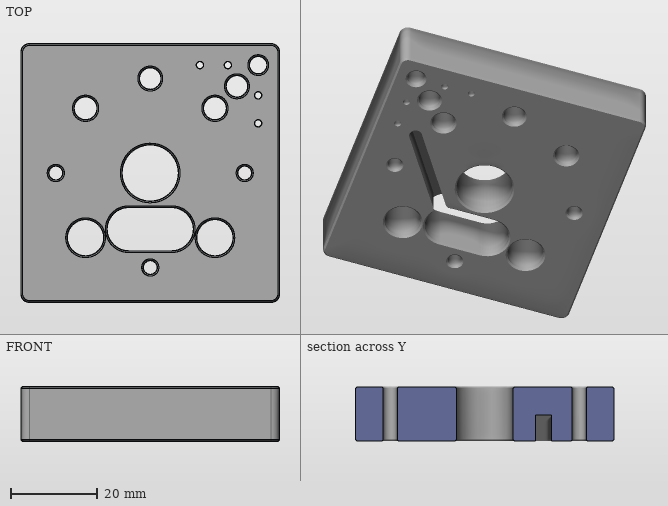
import cadquery as cq
import math

side = 60.0
thickness = 12.7
corner_radius = 2.0
edge_chamfer = 0.4

bore_diameter = 13.0
clearance_diameter = 8.4
upper_diameter = 5.3
dowel_diameter = 5.0
screw_diameter = 3.2
corner_diameter = 4.0
pin_diameter = 1.6
pattern_half = 15.0
ring_radius = 21.9
corner_offset = 25.0
inner_offset = 20.1
pin_offsets = (11.5, 18.0)

window_length = 20.0
window_width = 10.0
window_y = -13.0

channel_run = (15.0, 22.5)
channel_width = 3.0
channel_height = 6.1
mouth_radius = 2.0


def chamfered_hole(x, y, diameter):
    """Through-hole tool, widened by a chamfer at both plate faces."""
    radius = diameter / 2
    wide = radius + edge_chamfer
    profile = [
        (0, 0),
        (wide, 0),
        (radius, edge_chamfer),
        (radius, thickness - edge_chamfer),
        (wide, thickness),
        (0, thickness),
    ]
    tool = cq.Workplane("XZ").polyline(profile).close().revolve(360, (0, 0, 0), (0, 1, 0))
    return tool.translate((x, y, 0))


def make_plate():
    plate = cq.Workplane("XY").box(side, side, thickness, centered=(True, True, False))
    plate = plate.edges("|Z").fillet(corner_radius)
    return plate.faces("<Z or >Z").edges().chamfer(edge_chamfer)


def make_window():
    """Obround tool, flared by a chamfer at both plate faces."""
    wide_length = window_length + 2 * edge_chamfer
    wide_width = window_width + 2 * edge_chamfer
    tool = cq.Workplane("XY").slot2D(window_length, window_width).extrude(thickness)
    flare = cq.Workplane("XY").slot2D(wide_length, wide_width).extrude(edge_chamfer, taper=45)
    tool = tool.union(flare).union(flare.mirror("XY").translate((0, 0, thickness)))
    return tool.translate((0, window_y, 0))


def make_channel():
    """Straight channel whose mouth is rounded where it leaves the window's end arc."""
    end_radius = window_width / 2
    start_x = (window_length - window_width) / 2
    run_x, run_y = channel_run
    length = math.hypot(run_x, run_y)
    angle = math.degrees(math.atan2(run_y, run_x))
    half = channel_width / 2

    round_y = half + mouth_radius
    round_x = math.sqrt((end_radius + mouth_radius) ** 2 - round_y ** 2)
    touch = end_radius / (end_radius + mouth_radius)
    to_arc = math.atan2(-round_y, -round_x)
    middle = (to_arc - math.pi / 2) / 2
    mid_x = round_x + mouth_radius * math.cos(middle)
    mid_y = round_y + mouth_radius * math.sin(middle)
    tool = (
        cq.Workplane("XY")
        .moveTo(0, 0)
        .lineTo(round_x * touch, -round_y * touch)
        .threePointArc((mid_x, -mid_y), (round_x, -half))
        .lineTo(length, -half)
        .threePointArc((length + half, 0), (length, half))
        .lineTo(round_x, half)
        .threePointArc((mid_x, mid_y), (round_x * touch, round_y * touch))
        .close()
        .extrude(channel_height)
    )
    return tool.rotate((0, 0, 0), (0, 0, 1), angle).translate((start_x, window_y, 0))


holes = [
    (0, 0, bore_diameter),
    (-pattern_half, -pattern_half, clearance_diameter),
    (pattern_half, -pattern_half, clearance_diameter),
    (-pattern_half, pattern_half, upper_diameter),
    (pattern_half, pattern_half, upper_diameter),
    (0, ring_radius, dowel_diameter),
    (inner_offset, inner_offset, dowel_diameter),
    (-ring_radius, 0, screw_diameter),
    (ring_radius, 0, screw_diameter),
    (0, -ring_radius, screw_diameter),
    (corner_offset, corner_offset, corner_diameter),
]

result = make_plate().cut(make_window()).cut(make_channel())
for x, y, diameter in holes:
    result = result.cut(chamfered_hole(x, y, diameter))

for offset in pin_offsets:
    for x, y in ((offset, corner_offset), (corner_offset, offset)):
        pin_hole = cq.Workplane("XY").center(x, y).circle(pin_diameter / 2).extrude(thickness)
        result = result.cut(pin_hole)